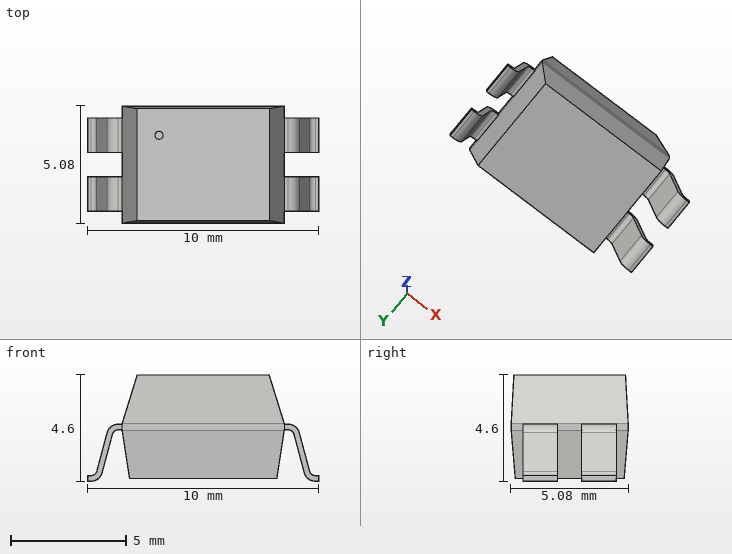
import cadquery as cq
import math

overall_length = 10.01
overall_height = 4.6

band_length = 7.03
band_width = 5.08
band_bottom = 2.2
band_top = 2.5
roof_length = 5.73
roof_width = 4.84
base_length = 6.39
base_width = 4.72
base_height = 0.12

lead_thickness = 0.25
lead_width = 1.5
lead_pitch = 2.54
foot_length = 0.15
bend_angle = 75.0
inner_bend_radius = 0.25
outer_bend_radius = inner_bend_radius + lead_thickness
lead_top = (band_bottom + band_top + lead_thickness) / 2

marker_diameter = 0.35
marker_depth = 0.1
marker_x = -1.91
marker_y = lead_pitch / 2


def frustum(start_z, start_size, end_z, end_size):
    """Rectangular loft between two heights, centred on the Z axis."""
    return (
        cq.Workplane("XY", origin=(0, 0, start_z))
        .rect(*start_size)
        .workplane(offset=end_z - start_z)
        .rect(*end_size)
        .loft(ruled=True)
    )


def make_marker():
    return (
        cq.Workplane("XY", origin=(marker_x, marker_y, overall_height - marker_depth))
        .circle(marker_diameter / 2)
        .extrude(marker_depth)
    )


def make_housing():
    band_size = (band_length, band_width)
    lower_half = frustum(base_height, (base_length, base_width), band_bottom, band_size)
    band = frustum(band_bottom, band_size, band_top, band_size)
    upper_half = frustum(band_top, band_size, overall_height, (roof_length, roof_width))
    return lower_half.union(band).union(upper_half).cut(make_marker())


def make_lead():
    """One lead on the +X side, centred on Y = 0."""
    half_bend_tangent = math.tan(math.radians(bend_angle / 2))
    corner_shift = lead_thickness * half_bend_tangent
    leg_run = (lead_top - lead_thickness) / math.tan(math.radians(bend_angle))

    tip_x = overall_length / 2
    root_x = band_length / 2
    shoulder_underside = lead_top - lead_thickness

    foot_inner_x = tip_x - foot_length - inner_bend_radius * half_bend_tangent
    foot_outer_x = foot_inner_x - corner_shift
    shoulder_outer_x = foot_inner_x - leg_run
    shoulder_inner_x = shoulder_outer_x - corner_shift
    inner_corners = [
        (foot_inner_x, 0, lead_thickness),
        (shoulder_inner_x, 0, shoulder_underside),
    ]
    outer_corners = [(foot_outer_x, 0, 0), (shoulder_outer_x, 0, lead_top)]

    strip = (
        cq.Workplane("XZ")
        .polyline([
            (root_x, lead_top),
            (shoulder_outer_x, lead_top),
            (foot_inner_x, lead_thickness),
            (tip_x, lead_thickness),
            (tip_x, 0),
            (foot_outer_x, 0),
            (shoulder_inner_x, shoulder_underside),
            (root_x, shoulder_underside),
        ])
        .close()
        .extrude(lead_width / 2, both=True)
    )
    for corners, radius in ((inner_corners, inner_bend_radius), (outer_corners, outer_bend_radius)):
        for corner in corners:
            strip = strip.edges(cq.selectors.NearestToPointSelector(corner)).fillet(radius)
    return strip


def make_leads():
    """Two leads on each end of the housing."""
    right_lead = make_lead()
    left_lead = right_lead.mirror("YZ")
    leads = []
    for lead in (right_lead, left_lead):
        for y in (-lead_pitch / 2, lead_pitch / 2):
            leads.append(lead.translate((0, y, 0)).val())
    return leads


housing = make_housing()
marker = make_marker()
leads = make_leads()

result = cq.Compound.makeCompound([housing.val(), marker.val(), *leads])